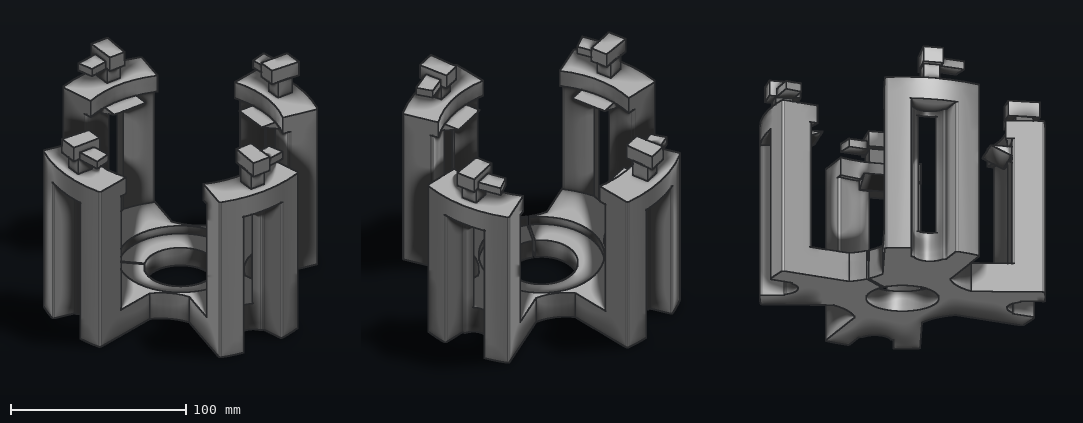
import cadquery as cq
import math


ARM_COUNT = 4
OVERSHOOT = 5.0

TOTAL_HEIGHT = 124.03
WALL_HEIGHT = 104.3
BASE_HEIGHT = 17.3
HUB_FLOOR_HEIGHT = 12.0
GROOVE_HEIGHT = 91.3
LIP_BOTTOM = 93.5

OUTER_RADIUS = 81.43
WALL_INNER_RADIUS = 63.0
LIP_INNER_RADIUS = 59.75
RECESS_RADIUS = 35.85
BORE_RADIUS = 20.75

ARM_ROOT_X = 35.75
ARM_ROOT_HALF_WIDTH = 19.65
FLANK_SLOPE = 0.2
HUB_THROAT_RADIUS = 37.1
CORNER_FILLET = 1.3

SLIT_WIDTH = 1.3
SLIT_ANGLE = 225.0

FLANGE_THICKNESS = 15.6
GROOVE_FLOOR_X = 66.7
CHANNEL_CENTRE_X = 71.0
CHANNEL_RADIUS = 9.65
GROOVE_FILLET = 1.0

HOOK_TIP_X = 49.1
HOOK_WIDTH = 22.1
HOOK_BOTTOM = 88.05

STEM_INNER_X = 65.2
STEM_OUTER_X = 75.3
STEM_WIDTH = 9.3
HEAD_INNER_X = 60.9
HEAD_OUTER_X = 79.1
HEAD_HALF_WIDTH = 5.78
HEAD_NARROW_HALF_WIDTH = 4.6
HEAD_BOTTOM = 114.9
TAB_BOTTOM = 114.4
TAB_TOP = 119.3
TAB_ROOT_INNER_X = 65.0
TAB_ROOT_OUTER_X = 75.0
TAB_END_INNER = (63.0, 16.8)
TAB_END_OUTER = (72.6, 19.6)


def flank_y(x):
    """Half width of an arm at distance x from the axis."""
    return ARM_ROOT_HALF_WIDTH + FLANK_SLOPE * (x - ARM_ROOT_X)


def disc(radius, bottom, top):
    """Cylinder about the Z axis."""
    return cq.Workplane("XY").workplane(offset=bottom).circle(radius).extrude(top - bottom)


def prism(points, bottom, top):
    """Polygon extruded between two heights."""
    return cq.Workplane("XY").workplane(offset=bottom).polyline(points).close().extrude(top - bottom)


def around_axis(shape, index):
    """Turn a shape to the numbered arm position."""
    return shape.rotate((0, 0, 0), (0, 0, 1), index * 360.0 / ARM_COUNT)


def fillet_uprights(shape, min_x, max_x, radius, max_y=OUTER_RADIUS):
    """Round the vertical edges lying between min_x and max_x and within max_y of the XZ plane."""
    region = cq.selectors.BoxSelector((min_x, -max_y, 0), (max_x, max_y, TOTAL_HEIGHT))
    return shape.edges("|Z").edges(region).fillet(radius)


def make_sector(bottom, top):
    """Solid arm outline from the axis out to the outer radius."""
    far_x = OUTER_RADIUS + OVERSHOOT
    outline = [
        (0, -flank_y(0)),
        (far_x, -flank_y(far_x)),
        (far_x, flank_y(far_x)),
        (0, flank_y(0)),
    ]
    sector = prism(outline, bottom, top).intersect(disc(OUTER_RADIUS, bottom, top))
    return fillet_uprights(sector, ARM_ROOT_X, far_x, CORNER_FILLET)


def make_wall():
    """Upright wall, rounded on its inner corners, with a sharp inward lip on top."""
    wall = make_sector(0, LIP_BOTTOM).cut(disc(WALL_INNER_RADIUS, 0, LIP_BOTTOM))
    wall = fillet_uprights(wall, 0, WALL_INNER_RADIUS, CORNER_FILLET)
    lip = make_sector(LIP_BOTTOM, WALL_HEIGHT).cut(disc(LIP_INNER_RADIUS, LIP_BOTTOM, WALL_HEIGHT))
    return wall.union(lip)


def make_hook():
    """Wedge under the lip with a flat top; its underside slopes down to the back of the groove channel."""
    channel_back_x = CHANNEL_CENTRE_X - CHANNEL_RADIUS
    profile = [
        (HOOK_TIP_X, LIP_BOTTOM),
        (WALL_INNER_RADIUS, LIP_BOTTOM),
        (WALL_INNER_RADIUS, HOOK_BOTTOM),
        (channel_back_x, HOOK_BOTTOM),
    ]
    return cq.Workplane("XZ").polyline(profile).close().extrude(HOOK_WIDTH / 2, both=True)


def make_catch():
    """Stem on top of the wall with an overhanging head and a tab to one side."""
    stem_middle = (STEM_INNER_X + STEM_OUTER_X) / 2
    stem = (
        cq.Workplane("XY")
        .workplane(offset=WALL_HEIGHT)
        .center(stem_middle, 0)
        .rect(STEM_OUTER_X - STEM_INNER_X, STEM_WIDTH)
        .extrude(HEAD_BOTTOM - WALL_HEIGHT)
    )
    head_outline = [
        (HEAD_INNER_X, -HEAD_NARROW_HALF_WIDTH),
        (HEAD_OUTER_X, -HEAD_HALF_WIDTH),
        (HEAD_OUTER_X, HEAD_HALF_WIDTH),
        (HEAD_INNER_X, HEAD_HALF_WIDTH),
    ]
    tab_outline = [
        (TAB_ROOT_INNER_X, STEM_WIDTH / 2),
        (TAB_ROOT_OUTER_X, STEM_WIDTH / 2),
        TAB_END_OUTER,
        TAB_END_INNER,
    ]
    head = prism(head_outline, HEAD_BOTTOM, TOTAL_HEIGHT)
    tab = prism(tab_outline, TAB_BOTTOM, TAB_TOP)
    return stem.union(head).union(tab)


def make_groove():
    """Cutter: tapered slot, flared at its mouth, with a round channel in its floor."""
    far_x = OUTER_RADIUS + OVERSHOOT
    floor_half = flank_y(GROOVE_FLOOR_X) - FLANGE_THICKNESS
    far_half = flank_y(far_x) - FLANGE_THICKNESS
    slot_outline = [
        (GROOVE_FLOOR_X, -floor_half),
        (far_x, -far_half),
        (far_x, far_half),
        (GROOVE_FLOOR_X, floor_half),
    ]
    slot = prism(slot_outline, 0, GROOVE_HEIGHT)
    channel = disc(CHANNEL_RADIUS, 0, GROOVE_HEIGHT).translate((CHANNEL_CENTRE_X, 0, 0))
    groove = fillet_uprights(slot.union(channel), 0, CHANNEL_CENTRE_X, GROOVE_FILLET)

    block = make_sector(0, GROOVE_HEIGHT)
    mouth_half = flank_y(OUTER_RADIUS) - FLANGE_THICKNESS
    grooved = fillet_uprights(block.cut(groove), CHANNEL_CENTRE_X, far_x, GROOVE_FILLET, mouth_half)
    return block.cut(grooved)


def make_base_web():
    """Material between two neighbouring arms, hollowed by a concave throat arc."""
    half_turn = math.radians(180.0 / ARM_COUNT)
    throat = (HUB_THROAT_RADIUS * math.cos(half_turn), HUB_THROAT_RADIUS * math.sin(half_turn))
    return (
        cq.Workplane("XY")
        .lineTo(ARM_ROOT_X, 0)
        .lineTo(ARM_ROOT_X, ARM_ROOT_HALF_WIDTH)
        .threePointArc(throat, (ARM_ROOT_HALF_WIDTH, ARM_ROOT_X))
        .lineTo(0, ARM_ROOT_X)
        .close()
        .extrude(BASE_HEIGHT)
    )


def make_slit():
    """Radial cut through one side of the collar."""
    return (
        cq.Workplane("XY")
        .rect(OUTER_RADIUS, SLIT_WIDTH)
        .extrude(BASE_HEIGHT)
        .translate((OUTER_RADIUS / 2, 0, 0))
        .rotate((0, 0, 0), (0, 0, 1), SLIT_ANGLE)
    )


arm = make_sector(0, BASE_HEIGHT).union(make_wall()).union(make_hook())
arm = arm.cut(make_groove()).union(make_catch())
web = make_base_web()

result = around_axis(arm, 0).union(around_axis(web, 0))
for arm_index in range(1, ARM_COUNT):
    result = result.union(around_axis(arm, arm_index)).union(around_axis(web, arm_index))

result = result.cut(disc(BORE_RADIUS, 0, BASE_HEIGHT))
result = result.cut(disc(RECESS_RADIUS, HUB_FLOOR_HEIGHT, BASE_HEIGHT))
result = result.cut(make_slit())